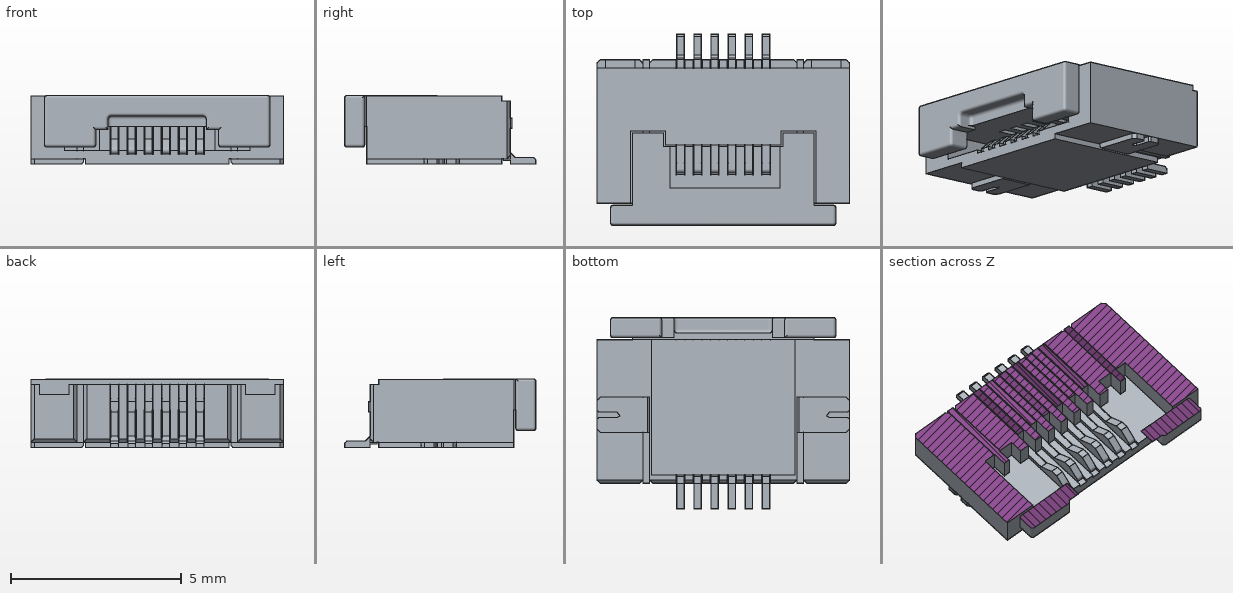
import cadquery as cq

WIDTH = 7.4
HALF_WIDTH = WIDTH / 2
TOP = 2.0
DEPTH = 3.96
UNDERSIDE = 0.155
BASE_HALF_WIDTH = 2.1

LEDGE_REAR = 4.21
LEDGE_TOP = 1.85
LEDGE_CHAMFER = 0.1
NOTCH_INNER = 2.58
NOTCH_OUTER = 3.45
NOTCH_FLOOR = 1.555

FLOOR = 0.39
OPENING_HALF_WIDTH = 2.71
OPENING_DEPTH = 2.12
BLOCK_HALF_WIDTH = 1.695
BLOCK_FRONT = 1.72

GAP = 0.05
SLIDER_TOP = 2.01
PLATE_BOTTOM = 1.095
BAR_HALF_WIDTH = 3.3
BAR_FRONT = -0.645
BAR_BOTTOM = 0.495
BAR_ROUND = 0.08
MOUTH_HALF_WIDTH = 1.8
MOUTH_TOP = 1.01
RECESS_HALF_WIDTH = 1.435
RECESS_TOP = 1.405
RECESS_BACK = -0.185
RECESS_CORNER = 0.1
WINDOW_LEFT = -1.56
WINDOW_RIGHT = 1.66
WINDOW_FRONT = 0.45
WINDOW_DEPTH = 0.11

CONTACT_COUNT = 6
CONTACT_SPAN = 2.5
PITCH = CONTACT_SPAN / (CONTACT_COUNT - 1)
CONTACT_WIDTH = 0.22
SLOT_WIDTH = 0.26
SLOT_FLOOR = 0.295
SLOT_TOP = LEDGE_TOP
SLIDER_SLOT_FRONT = 0.84
FOOT_END = 4.96
FOOT_TOP = 0.2
FOOT_ROOT = 4.35
HEEL_FRONT = 4.0
HEEL_BOTTOM = 0.1
WEB_FRONT = 2.22
TIP_CHAMFER = 0.075

SPINE_INNER = 2.15
SPINE_OUTER = 2.35
SPINE_TOP = 1.035
TAB_FRONT = 1.69
TAB_REAR = 2.715
TAB_CHAMFER = 0.1
TAB_SLOT_WIDTH = 0.16
TAB_SLOT_MOUTH = 0.275
TAB_SLOT_LENGTH = 0.59
TAB_SLOT_TIP = 2.235
BEND_CHAMFER = 0.07
ENTRY_CHAMFER = 0.095

contact_places = [i * PITCH - CONTACT_SPAN / 2 for i in range(CONTACT_COUNT)]


def block(x0, x1, y0, y1, z0, z1):
    """Box given by its limits along each axis."""
    return cq.Workplane("XY").box(x1 - x0, y1 - y0, z1 - z0, centered=False).translate((x0, y0, z0))


def side_profile(points, width, x):
    """Y-Z outline given a width along X, centred on x."""
    return cq.Workplane("YZ").polyline(points).close().extrude(width / 2, both=True).translate((x, 0, 0))


def mirrored(shape):
    """The shape together with its mirror image across X = 0."""
    return [shape, shape.mirror("YZ")]


def stepped_outline(half_width, depth, inner_half_width, inner_depth, front):
    """Plan outline with two rear arms either side of a shallower middle."""
    right = [
        (half_width, front),
        (half_width, depth),
        (inner_half_width, depth),
        (inner_half_width, inner_depth),
    ]
    left = [(-x, y) for x, y in reversed(right)]
    return cq.Workplane("XY").polyline(right + left).close()


def make_rear_ledge():
    ledge = block(-HALF_WIDTH, HALF_WIDTH, DEPTH, LEDGE_REAR, UNDERSIDE, LEDGE_TOP)
    ledge = ledge.edges("|Z and >Y").chamfer(LEDGE_CHAMFER)
    ledge = ledge.faces(">Y").edges("<Z").chamfer(LEDGE_CHAMFER)
    notch = block(NOTCH_INNER, NOTCH_OUTER, DEPTH, LEDGE_REAR, NOTCH_FLOOR, LEDGE_TOP)
    for cutter in mirrored(notch):
        ledge = ledge.cut(cutter)
    return ledge


def make_spine():
    """Upright spine: a low arm under the slider and a full-height rear web."""
    low_arm = block(SPINE_INNER, SPINE_OUTER, TAB_FRONT, LEDGE_REAR, UNDERSIDE, SPINE_TOP)
    return low_arm.union(block(SPINE_INNER, SPINE_OUTER, OPENING_DEPTH, LEDGE_REAR, UNDERSIDE, LEDGE_TOP))


def make_spine_slot():
    """Slot for one solder tab spine, with a flared entry in the rear ledge."""
    flare = (
        cq.Workplane("XY", origin=(0, 0, UNDERSIDE))
        .polyline([
            (SPINE_INNER, LEDGE_REAR - ENTRY_CHAMFER),
            (SPINE_OUTER, LEDGE_REAR - ENTRY_CHAMFER),
            (SPINE_OUTER + ENTRY_CHAMFER, LEDGE_REAR),
            (SPINE_INNER - ENTRY_CHAMFER, LEDGE_REAR),
        ])
        .close()
        .extrude(LEDGE_TOP - UNDERSIDE)
    )
    return make_spine().union(flare)


def make_housing():
    body = block(-HALF_WIDTH, HALF_WIDTH, 0, DEPTH, UNDERSIDE, TOP)
    body = body.union(block(-BASE_HALF_WIDTH, BASE_HALF_WIDTH, 0, DEPTH, 0, UNDERSIDE))
    body = body.union(make_rear_ledge())

    opening = stepped_outline(OPENING_HALF_WIDTH, OPENING_DEPTH, BLOCK_HALF_WIDTH, BLOCK_FRONT, 0)
    body = body.cut(opening.extrude(TOP - FLOOR).translate((0, 0, FLOOR)))

    half_slot = SLOT_WIDTH / 2
    for x in contact_places:
        body = body.cut(block(x - half_slot, x + half_slot, 0, LEDGE_REAR, SLOT_FLOOR, SLOT_TOP))
        body = body.cut(block(x - half_slot, x + half_slot, DEPTH, LEDGE_REAR, UNDERSIDE, SLOT_FLOOR))

    for cutter in mirrored(make_spine_slot()):
        body = body.cut(cutter)
    return body


def make_slider_bar():
    """Rounded front bar with the cable mouth cut into its lower edge."""
    bar = block(-BAR_HALF_WIDTH, BAR_HALF_WIDTH, BAR_FRONT, -GAP, BAR_BOTTOM, SLIDER_TOP)
    bar = bar.cut(block(-MOUTH_HALF_WIDTH, MOUTH_HALF_WIDTH, BAR_FRONT, -GAP, BAR_BOTTOM, MOUTH_TOP))
    bar = bar.cut(block(-RECESS_HALF_WIDTH, RECESS_HALF_WIDTH, BAR_FRONT, -GAP, BAR_BOTTOM, PLATE_BOTTOM))
    recess = block(-RECESS_HALF_WIDTH, RECESS_HALF_WIDTH, BAR_FRONT, RECESS_BACK, BAR_BOTTOM, RECESS_TOP)
    recess = recess.edges("|Y and >Z").fillet(RECESS_CORNER)
    recess = recess.faces(">Y").edges(">Z").fillet(RECESS_CORNER)
    bar = bar.cut(recess)
    return bar.edges("(|Z and (<X or >X)) or (|Y and (<X or >X)) or <Y or <Z").fillet(BAR_ROUND)


def make_slider():
    plate = stepped_outline(
        OPENING_HALF_WIDTH - GAP,
        OPENING_DEPTH - GAP,
        BLOCK_HALF_WIDTH + GAP,
        BLOCK_FRONT - GAP,
        -GAP,
    ).extrude(SLIDER_TOP - PLATE_BOTTOM).translate((0, 0, PLATE_BOTTOM))
    slider = plate.union(make_slider_bar())

    plate_rear = BLOCK_FRONT - GAP
    slider = slider.cut(
        block(WINDOW_LEFT, WINDOW_RIGHT, WINDOW_FRONT, plate_rear, SLIDER_TOP - WINDOW_DEPTH, SLIDER_TOP)
    )
    half_slot = SLOT_WIDTH / 2
    for x in contact_places:
        slider = slider.cut(
            block(x - half_slot, x + half_slot, SLIDER_SLOT_FRONT, plate_rear, PLATE_BOTTOM, SLIDER_TOP)
        )
    return slider


def make_contact(x):
    """Fork-shaped contact: two forward arms, a rear web and a solder foot."""
    arm_tip = 0.895
    arm_round = 0.1
    arm_bottom = 1.44
    lower_arm_top = 0.47
    nose_apex = -0.06
    nose_round = 0.1
    bump_peak = 0.495
    bump_top = 0.74
    bump_rear = 0.71
    arm_flat = 1.185
    tail_bottom = 1.04
    tail_top = 1.35
    tail_rear = 4.26
    slope_rise = FOOT_ROOT - LEDGE_REAR
    outline = [
        (arm_tip, SLOT_TOP),
        (arm_tip, arm_bottom),
        (WEB_FRONT, arm_bottom),
        (WEB_FRONT, lower_arm_top),
        (arm_flat, lower_arm_top),
        (bump_rear, bump_top),
        (bump_peak, bump_top),
        (nose_apex, SLOT_FLOOR),
        (HEEL_FRONT, SLOT_FLOOR),
        (HEEL_FRONT, HEEL_BOTTOM),
        (LEDGE_REAR, HEEL_BOTTOM),
        (LEDGE_REAR, 0),
        (FOOT_END, 0),
        (FOOT_END, FOOT_TOP - TIP_CHAMFER),
        (FOOT_END - TIP_CHAMFER, FOOT_TOP),
        (FOOT_ROOT, FOOT_TOP),
        (LEDGE_REAR, FOOT_TOP + slope_rise),
        (LEDGE_REAR, tail_bottom),
        (tail_rear, tail_bottom),
        (tail_rear, tail_top),
        (LEDGE_REAR, tail_top),
        (LEDGE_REAR, SLOT_TOP),
    ]
    contact = side_profile(outline, CONTACT_WIDTH, x)
    arm_edge = cq.selectors.NearestToPointSelector((x, arm_tip, SLOT_TOP))
    nose_edge = cq.selectors.NearestToPointSelector((x, nose_apex, SLOT_FLOOR))
    return contact.edges(arm_edge).fillet(arm_round).edges(nose_edge).fillet(nose_round)


def make_solder_tab():
    """Right-hand tab: flat foot under the housing and an upright spine inside it."""
    foot = block(SPINE_INNER, HALF_WIDTH, TAB_FRONT, TAB_REAR, 0, UNDERSIDE)
    foot = foot.edges("|Z and >X").chamfer(TAB_CHAMFER)
    foot = foot.edges("<X and <Z").chamfer(BEND_CHAMFER)

    middle = (TAB_FRONT + TAB_REAR) / 2
    half_slot = TAB_SLOT_WIDTH / 2
    half_mouth = TAB_SLOT_MOUTH / 2
    slot_end = HALF_WIDTH - TAB_SLOT_LENGTH
    slot_flare = HALF_WIDTH - (half_mouth - half_slot)
    slot = (
        cq.Workplane("XY")
        .polyline([
            (HALF_WIDTH, middle - half_mouth),
            (slot_flare, middle - half_slot),
            (slot_end, middle - half_slot),
            (slot_end - half_slot, TAB_SLOT_TIP),
            (slot_end, middle + half_slot),
            (slot_flare, middle + half_slot),
            (HALF_WIDTH, middle + half_mouth),
        ])
        .close()
        .extrude(UNDERSIDE)
    )
    return foot.cut(slot).union(make_spine())


housing = make_housing()
slider = make_slider()
contacts = [make_contact(x) for x in contact_places]
solder_tabs = mirrored(make_solder_tab())

result = cq.Compound.makeCompound([
    housing.val(),
    slider.val(),
    *[contact.val() for contact in contacts],
    *[tab.val() for tab in solder_tabs],
])